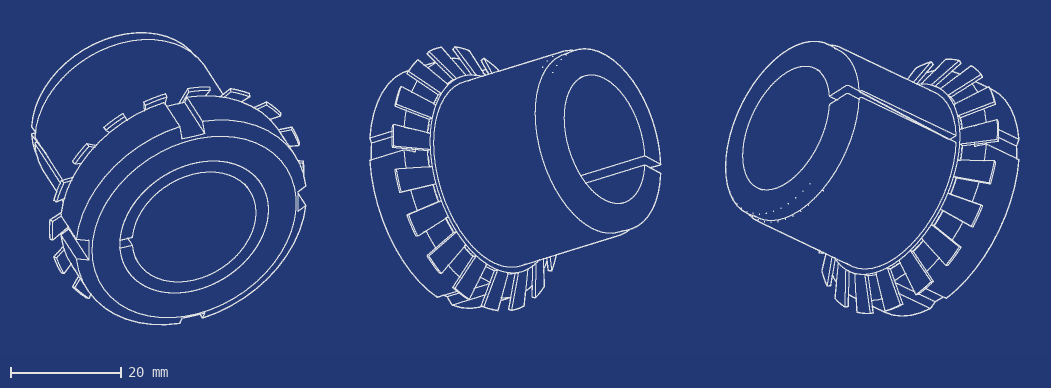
import cadquery as cq
import math


TOTAL_LENGTH = 38.0
RING_START = 2.9
WASHER_START = 25.65
WASHER_THICKNESS = 0.7
NUT_START = WASHER_START + WASHER_THICKNESS

BORE_RADIUS = 12.0
TAPER_START_RADIUS = 17.0
TAPER_END_RADIUS = 15.6
SLEEVE_SLIT_WIDTH = 1.8
TAPER = (TAPER_START_RADIUS - TAPER_END_RADIUS) / WASHER_START

RING_RADIUS = 17.45
RING_SLIT_WIDTH = 1.5
EDGE_FILLET = 0.35

WASHER_BORE_RADIUS = 30.0 / 2
WASHER_RADIUS = 18.5
TAB_COUNT = 18
TAB_ANGLE = 10.0
TAB_TIP_RADIUS = 24.75
CONE_ANGLE = 60.0

NUT_RADIUS = 22.4
NUT_BORE_RADIUS = 28.9 / 2
NUT_FRONT_RADIUS = 18.3
NUT_CHAMFER_LENGTH = 1.5
NUT_SLOT_COUNT = 4
NUT_SLOT_WIDTH = 4.4
NUT_SLOT_FLOOR = 20.35

CONE_SLOPE = math.tan(math.radians(CONE_ANGLE))
THREAD_CHAMFER_END = NUT_START + WASHER_BORE_RADIUS - NUT_BORE_RADIUS
CUT_DEPTH = NUT_RADIUS


def revolved(points, angle=360.0):
    """Turn an outline of (x, radius) points about the X axis, starting from the -Y side."""
    outline = [(x, -radius) for x, radius in points]
    return cq.Workplane("XY").polyline(outline).close().revolve(angle, (0, 0, 0), (1, 0, 0))


def slit(width):
    """Radial slot along the whole length, open towards -Y."""
    cutter = cq.Workplane("XY").box(TOTAL_LENGTH, CUT_DEPTH, width, centered=(False, False, True))
    return cutter.translate((0, -CUT_DEPTH, 0))


def taper_radius(x):
    """Radius of the tapered fit between sleeve and outer ring."""
    return TAPER_START_RADIUS - TAPER * x


def make_sleeve():
    """Split sleeve: tapered outside, then stepped down to fill the washer and nut bores."""
    body = revolved([
        (0, BORE_RADIUS),
        (0, TAPER_START_RADIUS),
        (WASHER_START, TAPER_END_RADIUS),
        (WASHER_START, WASHER_BORE_RADIUS),
        (NUT_START, WASHER_BORE_RADIUS),
        (THREAD_CHAMFER_END, NUT_BORE_RADIUS),
        (TOTAL_LENGTH, NUT_BORE_RADIUS),
        (TOTAL_LENGTH, BORE_RADIUS),
    ])
    front_rim = body.faces("<X").edges(cq.selectors.RadiusNthSelector(-1))
    body = front_rim.fillet(EDGE_FILLET)
    return body.cut(slit(SLEEVE_SLIT_WIDTH))


def make_outer_ring():
    """Split cylindrical ring with a tapered bore, sitting on the sleeve."""
    body = revolved([
        (RING_START, taper_radius(RING_START)),
        (RING_START, RING_RADIUS),
        (WASHER_START, RING_RADIUS),
        (WASHER_START, TAPER_END_RADIUS),
    ])
    front_rim = body.faces("<X").edges(cq.selectors.RadiusNthSelector(-1))
    body = front_rim.fillet(EDGE_FILLET)
    return body.cut(slit(RING_SLIT_WIDTH))


def make_tab():
    """One washer tab, centred on -Y and bent back towards the nut."""
    tip_x = WASHER_START + (TAB_TIP_RADIUS - WASHER_RADIUS) / CONE_SLOPE
    end_dx = WASHER_THICKNESS * math.sin(math.radians(CONE_ANGLE))
    end_dr = WASHER_THICKNESS * math.cos(math.radians(CONE_ANGLE))
    inner_tip_x = tip_x + end_dx
    inner_tip_radius = TAB_TIP_RADIUS - end_dr
    root_radius = inner_tip_radius - (inner_tip_x - NUT_START) * CONE_SLOPE
    tab = revolved([
        (WASHER_START, root_radius),
        (WASHER_START, WASHER_RADIUS),
        (tip_x, TAB_TIP_RADIUS),
        (inner_tip_x, inner_tip_radius),
        (NUT_START, root_radius),
    ], TAB_ANGLE)
    return tab.rotate((0, 0, 0), (1, 0, 0), -TAB_ANGLE / 2)


def make_washer():
    """Flat ring with a crown of bent tabs."""
    body = revolved([
        (WASHER_START, WASHER_BORE_RADIUS),
        (WASHER_START, WASHER_RADIUS),
        (NUT_START, WASHER_RADIUS),
        (NUT_START, WASHER_BORE_RADIUS),
    ])
    tab = make_tab()
    for i in range(TAB_COUNT):
        body = body.union(tab.rotate((0, 0, 0), (1, 0, 0), i * 360 / TAB_COUNT))
    return body


def make_nut():
    """Lock nut with a cone on each end, a chamfered bore and spanner slots around its rim."""
    front_cone_end = NUT_START + (NUT_RADIUS - NUT_FRONT_RADIUS) / CONE_SLOPE
    body = revolved([
        (NUT_START, WASHER_BORE_RADIUS),
        (NUT_START, NUT_FRONT_RADIUS),
        (front_cone_end, NUT_RADIUS),
        (TOTAL_LENGTH - NUT_CHAMFER_LENGTH, NUT_RADIUS),
        (TOTAL_LENGTH, NUT_RADIUS - NUT_CHAMFER_LENGTH * CONE_SLOPE),
        (TOTAL_LENGTH, NUT_BORE_RADIUS),
        (THREAD_CHAMFER_END, NUT_BORE_RADIUS),
    ])
    slot = cq.Workplane("XY").box(TOTAL_LENGTH, CUT_DEPTH, NUT_SLOT_WIDTH, centered=(False, False, True))
    slot = slot.translate((0, NUT_SLOT_FLOOR, 0))
    for i in range(NUT_SLOT_COUNT):
        body = body.cut(slot.rotate((0, 0, 0), (1, 0, 0), i * 360 / NUT_SLOT_COUNT))
    return body


sleeve = make_sleeve()
outer_ring = make_outer_ring()
washer = make_washer()
nut = make_nut()

result = cq.Compound.makeCompound([body.solids().val() for body in (sleeve, outer_ring, washer, nut)])